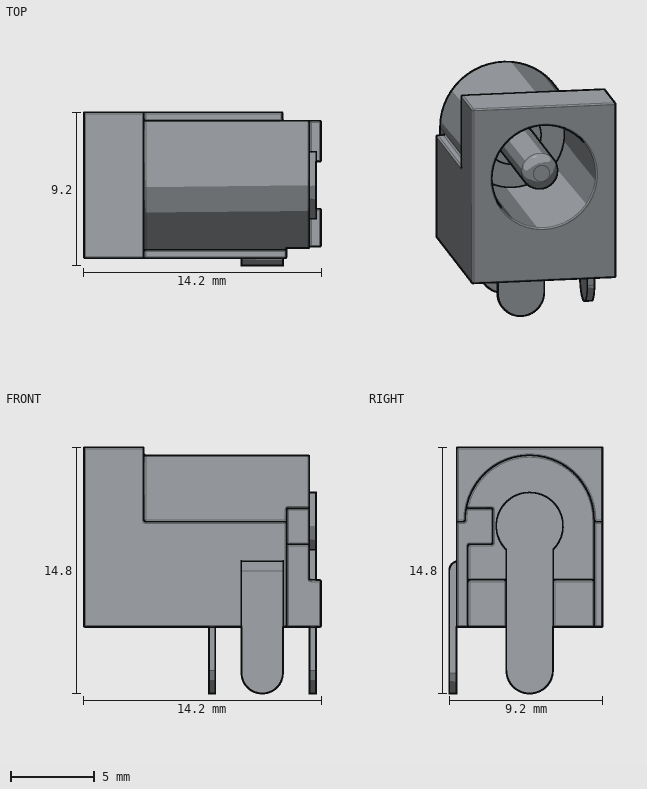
import cadquery as cq


LENGTH = 14.2
WIDTH = 8.75
OVERALL_HEIGHT = 14.76
HEIGHT = 10.77
HALF_WIDTH = WIDTH / 2
BLOCK_LENGTH = 3.6
EDGE_RADIUS = 0.096

AXIS_Z = 6.42
BARREL_DIAMETER = 7.72
BARREL_RADIUS = BARREL_DIAMETER / 2
REAR_X = 13.5
TAIL_HEIGHT = 2.82
SHELF_Z = 6.32

PLAIN_FLANK_X = 11.9
POCKET_X = 12.13
POCKET_Y = -3.69
POCKET_TOP = 7.11
LEDGE_Z = 4.96
WINDOW_DEPTH = 1.48

BORE_DIAMETER = 6.3
BORE_DEPTH = 10.33

PIN_DIAMETER = 2.2
PIN_TIP_X = 0.85
PIN_TIP_RADIUS = 0.6
COLLAR_DIAMETER = 3.45
COLLAR_LENGTH = 0.4

LEAD_THICKNESS = 0.4
LEAD_BOTTOM = HEIGHT - OVERALL_HEIGHT
LEAD_WIDTH = 2.8
MIDDLE_LEAD_X = 7.48
MIDDLE_LEAD_TOP = 1.48
REAR_DISC_DIAMETER = 4.0
REAR_DISC_TOP = 8.06
SIDE_LEAD_X = 9.43
SIDE_LEAD_THICKNESS = 0.45
SIDE_LEAD_WIDTH = 2.5
SIDE_LEAD_TOP = 3.97
SIDE_BEND_RADIUS = 0.6
SIDE_TONGUE_Y = -3.25


def box(x_range, y_range, z_range):
    """Box between the given limits along each axis."""
    limits = (x_range, y_range, z_range)
    size = [high - low for low, high in limits]
    corner = [low for low, high in limits]
    return cq.Workplane("XY").box(*size, centered=False).translate(tuple(corner))


def cylinder_along_x(diameter, x_start, x_end):
    """Cylinder on the barrel axis."""
    plane = cq.Workplane("YZ", origin=(x_start, 0, AXIS_Z))
    return plane.circle(diameter / 2).extrude(x_end - x_start)


def make_barrel():
    """Round-topped core: a barrel on straight walls that reach the underside."""
    outline = (
        cq.Workplane("YZ", origin=(BLOCK_LENGTH / 2, 0, 0))
        .moveTo(-BARREL_RADIUS, 0)
        .lineTo(-BARREL_RADIUS, AXIS_Z)
        .threePointArc((0, AXIS_Z + BARREL_RADIUS), (BARREL_RADIUS, AXIS_Z))
        .lineTo(BARREL_RADIUS, 0)
        .close()
    )
    return outline.extrude(REAR_X - BLOCK_LENGTH / 2)


def make_outer_shape():
    """Block, barrel, side shelves and tail, with the pocket, window and lead slot cut out."""
    block = box((0, BLOCK_LENGTH), (-HALF_WIDTH, HALF_WIDTH), (0, HEIGHT))
    near_shelf = box((0, POCKET_X), (-HALF_WIDTH, 0), (0, SHELF_Z))
    far_shelf = box((0, PLAIN_FLANK_X), (0, HALF_WIDTH), (0, SHELF_Z))
    tail = box((BLOCK_LENGTH, LENGTH), (-BARREL_RADIUS, BARREL_RADIUS), (0, TAIL_HEIGHT))
    pocket = box((POCKET_X, LENGTH), (-HALF_WIDTH, POCKET_Y), (0, POCKET_TOP))
    window = box((POCKET_X, REAR_X), (POCKET_Y, POCKET_Y + WINDOW_DEPTH), (LEDGE_Z, POCKET_TOP))
    slot = box((REAR_X, LENGTH), (-LEAD_WIDTH / 2, LEAD_WIDTH / 2), (0, TAIL_HEIGHT))
    outer = block.union(make_barrel()).union(near_shelf).union(far_shelf).union(tail)
    return outer.cut(pocket).cut(window).cut(slot)


def make_housing(inserts):
    """Rounded housing with its plug bore, recessed for each of the inserted bodies."""
    housing = make_outer_shape().edges().fillet(EDGE_RADIUS)
    housing = housing.cut(cylinder_along_x(BORE_DIAMETER, 0, BORE_DEPTH))
    housing = housing.faces("<X").edges("%CIRCLE").fillet(EDGE_RADIUS)
    for insert in inserts:
        housing = housing.cut(insert)
    return housing


def make_centre_pin():
    """Pin with a rounded tip and a collar that sits flush in the floor of the bore."""
    pin = cylinder_along_x(PIN_DIAMETER, PIN_TIP_X, REAR_X)
    pin = pin.faces("<X").edges().fillet(PIN_TIP_RADIUS)
    collar = cylinder_along_x(COLLAR_DIAMETER, BORE_DEPTH, BORE_DEPTH + COLLAR_LENGTH)
    return pin.union(collar)


def make_blade(plane, width, top, thickness):
    """Upright lead from the given top down to a full-round end."""
    radius = width / 2
    outline = (
        plane.moveTo(-radius, top)
        .lineTo(-radius, LEAD_BOTTOM + radius)
        .threePointArc((0, LEAD_BOTTOM), (radius, LEAD_BOTTOM + radius))
        .lineTo(radius, top)
        .close()
    )
    return outline.extrude(thickness)


def make_middle_lead():
    """Blade standing in a slot in the underside."""
    plane = cq.Workplane("YZ", origin=(MIDDLE_LEAD_X, 0, 0))
    return make_blade(plane, LEAD_WIDTH, MIDDLE_LEAD_TOP, LEAD_THICKNESS)


def make_rear_lead():
    """Blade against the rear end, topped by a disc."""
    disc_z = REAR_DISC_TOP - REAR_DISC_DIAMETER / 2
    plane = cq.Workplane("YZ", origin=(REAR_X, 0, 0))
    disc = plane.center(0, disc_z).circle(REAR_DISC_DIAMETER / 2).extrude(LEAD_THICKNESS)
    return make_blade(plane, LEAD_WIDTH, disc_z, LEAD_THICKNESS).union(disc)


def make_side_lead():
    """Blade on the side of the housing, bent at its top into a tongue inside the housing."""
    centre_x = SIDE_LEAD_X + SIDE_LEAD_WIDTH / 2
    outer_y = -HALF_WIDTH - SIDE_LEAD_THICKNESS
    plane = cq.Workplane("XZ", origin=(centre_x, -HALF_WIDTH, 0))
    blade = make_blade(plane, SIDE_LEAD_WIDTH, SIDE_LEAD_TOP, SIDE_LEAD_THICKNESS)
    x_range = (SIDE_LEAD_X, SIDE_LEAD_X + SIDE_LEAD_WIDTH)
    z_range = (SIDE_LEAD_TOP - SIDE_LEAD_THICKNESS, SIDE_LEAD_TOP)
    lead = blade.union(box(x_range, (outer_y, SIDE_TONGUE_Y), z_range))
    inner_bend = cq.selectors.NearestToPointSelector((centre_x, -HALF_WIDTH, z_range[0]))
    lead = lead.edges(inner_bend).fillet(SIDE_BEND_RADIUS - SIDE_LEAD_THICKNESS)
    outer_bend = cq.selectors.NearestToPointSelector((centre_x, outer_y, SIDE_LEAD_TOP))
    return lead.edges(outer_bend).fillet(SIDE_BEND_RADIUS)


centre_pin = make_centre_pin()
middle_lead = make_middle_lead()
rear_lead = make_rear_lead()
side_lead = make_side_lead()
inserts = [centre_pin, middle_lead, rear_lead, side_lead]
housing = make_housing(inserts)

result = cq.Compound.makeCompound([body.solids().val() for body in [housing, *inserts]])